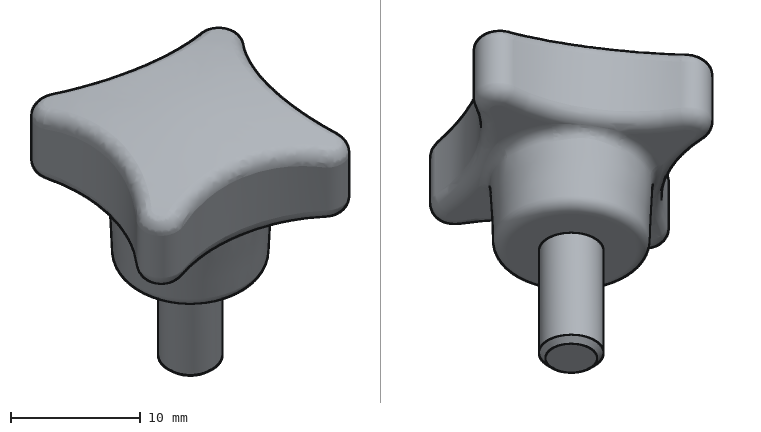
import cadquery as cq
import math

total_height = 25.0
stud_length = 10.0
head_base = 17.0

head_width = 18.8
lobe_radius = 1.9
side_gap = 15.0
dome_radius = 50.0
edge_fillet = 1.25

neck_bottom_radius = 6.0
neck_top_radius = 6.3
neck_bottom_fillet = 1.0
neck_root_fillet = 1.0

stud_diameter = 5.0
stud_chamfer = 0.5

lobe_center = head_width / 2 - lobe_radius
side_middle = side_gap / 2
center_offset = side_middle - lobe_center
side_radius = (lobe_center**2 + center_offset**2 - lobe_radius**2) / (2 * (lobe_radius - center_offset))
side_center = side_middle + side_radius
tangent_share = lobe_radius / (lobe_radius + side_radius)
tangent_x = lobe_center * (1 - tangent_share)
tangent_y = lobe_center + (side_center - lobe_center) * tangent_share
lobe_tip = lobe_center + lobe_radius / math.sqrt(2)


def turned(point, quarter_turns):
    """Rotate a point about the origin by whole quarter turns."""
    x, y = point
    for _ in range(quarter_turns):
        x, y = -y, x
    return x, y


def make_head():
    """Four-lobed prism with a spherical top and rounded edges."""
    outline = cq.Workplane("XY", origin=(0, 0, head_base)).moveTo(tangent_x, tangent_y)
    for turn in range(4):
        outline = outline.threePointArc(
            turned((0, side_middle), turn), turned((-tangent_x, tangent_y), turn)
        )
        outline = outline.threePointArc(
            turned((-lobe_tip, lobe_tip), turn), turned((-tangent_y, tangent_x), turn)
        )
    prism = outline.close().extrude(total_height - head_base)
    dome = cq.Workplane("XY").sphere(dome_radius).translate((0, 0, total_height - dome_radius))
    return prism.intersect(dome).edges("not |Z").fillet(edge_fillet)


def make_neck():
    """Tapered round neck, carried up into the head."""
    taper = (neck_top_radius - neck_bottom_radius) / (head_base - stud_length)
    neck_end = head_base + edge_fillet
    end_radius = neck_top_radius + taper * edge_fillet
    neck = (
        cq.Workplane("XZ")
        .moveTo(0, stud_length)
        .lineTo(neck_bottom_radius, stud_length)
        .lineTo(end_radius, neck_end)
        .lineTo(0, neck_end)
        .close()
        .revolve(360, (0, 0, 0), (0, 1, 0))
    )
    return neck.faces("<Z").edges().fillet(neck_bottom_fillet)


def make_stud():
    """Plain stud with a chamfered free end."""
    stud = cq.Workplane("XY").circle(stud_diameter / 2).extrude(stud_length + neck_bottom_fillet)
    return stud.faces("<Z").chamfer(stud_chamfer)


def round_neck_root(body):
    """Blend the neck into the underside of the head."""
    reach = neck_top_radius + neck_root_fillet
    depth = edge_fillet / 2
    root_zone = cq.selectors.BoxSelector(
        (-reach, -reach, head_base - depth), (reach, reach, head_base + depth), boundingbox=True
    )
    return body.edges(root_zone).fillet(neck_root_fillet)


knob = make_head().union(make_neck())
result = round_neck_root(knob).union(make_stud())